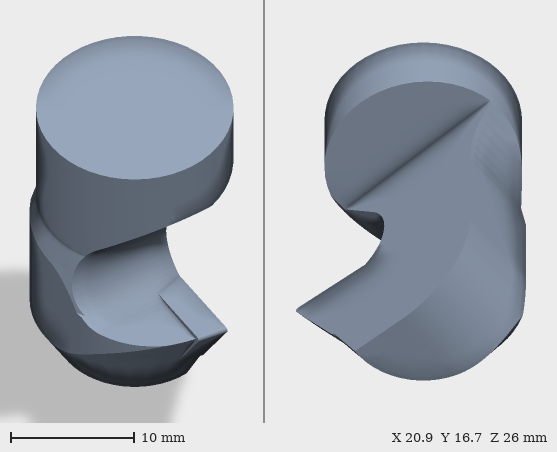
import cadquery as cq
import math

height = 25.95
shank_diameter = 16.0
shank_radius = shank_diameter / 2
overall_depth = 16.7
far = 2 * height

flare_top = 15.67
ledge_height = 10.64
flare_angle = 17.7
tip_cone_radius = 6.6
tip_cone_angle = 27.7

front_y = shank_radius - overall_depth
left_plan_radius = 8.55
left_plan_x = 0.25
right_plan_radius = 7.52
right_plan_x = 4.3

wall_x = -5.7
blend_start = 15.3
blend_radius = 7.63
heel_radius = 7.1

back_angle = 4.0
back_y = 0.9
shoulder_height = 20.3
shoulder_angle = 4.8

notch_radius = 3.9
notch_x = 7.35
notch_z = 14.0
notch_upper_angle = 44.0
notch_floor_angle = 1.0

insert_tip = (13.13, 10.97)
insert_side = 7.78
insert_thickness = 2.4
insert_top_angle = 3.0
insert_corner_angle = 55.5
insert_clearance = 7.0
insert_nose_radius = 0.25


def polar(origin, length, angle):
    """Point at a given distance and angle in degrees from an origin."""
    turn = math.radians(angle)
    return origin[0] + length * math.cos(turn), origin[1] + length * math.sin(turn)


def back_plane():
    """Local X runs along the back face, local Y is up, normal points to the front."""
    along_x, along_y = polar((0, 0), 1, -back_angle)
    return cq.Plane(origin=(0, back_y, 0), xDir=(along_x, along_y, 0), normal=(along_y, -along_x, 0))


def revolved_body():
    """Shank, flared neck, ledge and tip cone as one turned shape."""
    flare_radius = shank_radius + (flare_top - ledge_height) * math.tan(math.radians(flare_angle))
    ledge_radius = tip_cone_radius + ledge_height * math.tan(math.radians(tip_cone_angle))
    half_section = [
        (0, 0), (tip_cone_radius, 0), (ledge_radius, ledge_height), (flare_radius, ledge_height),
        (shank_radius, flare_top), (shank_radius, height), (0, height),
    ]
    return cq.Workplane("XZ").polyline(half_section).close().revolve(360, (0, 0), (0, 1))


def plan_column():
    """Upright column whose front is flat between two tangent arcs."""
    left_center_y = front_y + left_plan_radius
    right_center_y = front_y + right_plan_radius
    left_x = left_plan_x - left_plan_radius
    right_x = right_plan_x + right_plan_radius
    left_middle = polar((left_plan_x, left_center_y), left_plan_radius, 225)
    right_middle = polar((right_plan_x, right_center_y), right_plan_radius, 315)
    return (
        cq.Workplane("XY")
        .moveTo(left_x, left_center_y)
        .threePointArc(left_middle, (left_plan_x, front_y))
        .lineTo(right_plan_x, front_y)
        .threePointArc(right_middle, (right_x, right_center_y))
        .lineTo(right_x, shank_radius)
        .lineTo(left_x, shank_radius)
        .close()
        .extrude(height)
    )


def left_cutter():
    """Removes material left of the wall, its upper blend and the round heel."""
    blend_center = (wall_x - blend_radius, blend_start)
    heel_center = (wall_x + heel_radius, heel_radius)
    return (
        cq.Workplane("XZ")
        .moveTo(heel_center[0], 0)
        .threePointArc(polar(heel_center, heel_radius, 225), (wall_x, heel_radius))
        .lineTo(wall_x, blend_start)
        .threePointArc(polar(blend_center, blend_radius, 45), (blend_center[0], blend_start + blend_radius))
        .lineTo(blend_center[0], 0)
        .close()
        .extrude(far, both=True)
    )


def back_cutter():
    """Removes everything behind the back face and below the sloping shoulder."""
    rise = far * math.tan(math.radians(shoulder_angle))
    outline = [(-far, -height), (far, -height), (far, shoulder_height - rise), (-far, shoulder_height + rise)]
    return cq.Workplane(back_plane()).polyline(outline).close().extrude(-far)


def notch_cutter():
    """Round-bottomed notch, open to the right, running square to the back face."""
    center = (notch_x, notch_z)
    upper_tangent = polar(center, notch_radius, 90 + notch_upper_angle)
    lower_tangent = polar(center, notch_radius, notch_floor_angle - 90)
    return (
        cq.Workplane(back_plane())
        .moveTo(*upper_tangent)
        .threePointArc(polar(center, notch_radius, 180), lower_tangent)
        .lineTo(*polar(lower_tangent, height, notch_floor_angle))
        .lineTo(*polar(upper_tangent, height, notch_upper_angle))
        .close()
        .extrude(far, both=True)
    )


def cutting_insert():
    """Diamond plate with clearance on its flanks, flush with the back face."""
    top_direction = 180 + insert_top_angle
    side_direction = top_direction + insert_corner_angle
    inner = polar(insert_tip, insert_side, top_direction)
    lower = polar(insert_tip, insert_side, side_direction)
    opposite = polar(inner, insert_side, side_direction)
    return (
        cq.Workplane(back_plane())
        .polyline([insert_tip, inner, opposite, lower])
        .close()
        .extrude(insert_thickness, taper=insert_clearance)
        .edges()
        .filter(lambda edge: edge.BoundingBox().ylen > insert_thickness / 2)
        .fillet(insert_nose_radius)
    )


body = revolved_body().intersect(plan_column())
body = body.cut(left_cutter()).cut(back_cutter()).cut(notch_cutter())
result = body.union(cutting_insert())